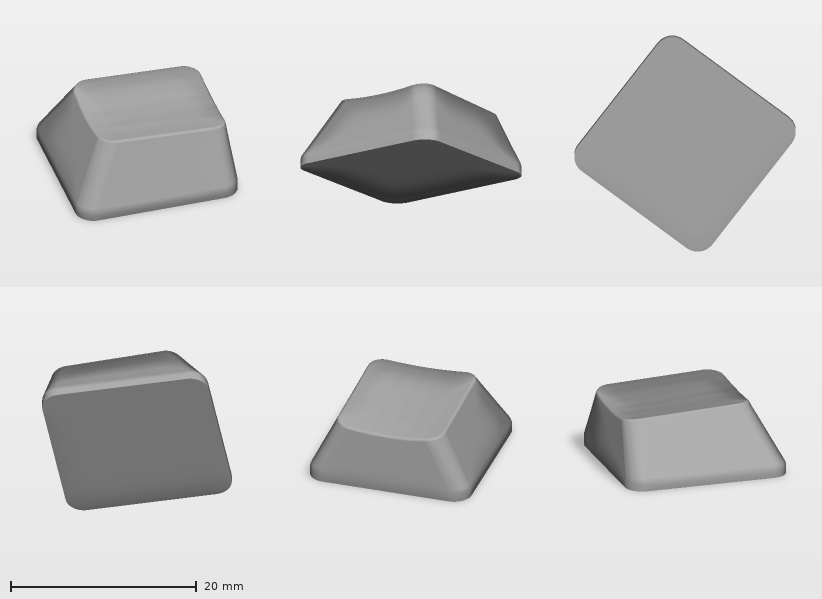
import cadquery as cq
import math

side = 18.16
foot_height = 0.67
foot_corner = 2.0

shoulder_top = 1.3
shoulder_steps = 3
shoulder_corner = 1.85

side_angle = 25.2
front_angle = 26.6
back_angle = 5.1
wall_top = 7.99
top_corner = 1.82

dish_radius = 31.78
dish_tilt = 2.7
dish_height = 7.01
rim_radius = 0.29


def inset(angle, z):
    """Inward shift of a wall at height z: an arc over the shoulder, then straight."""
    lean = math.radians(angle)
    arc_radius = (shoulder_top - foot_height) / math.sin(lean)
    arc_rise = min(z, shoulder_top) - foot_height
    arc_shift = arc_radius - math.sqrt(arc_radius**2 - arc_rise**2)
    straight_shift = max(z - shoulder_top, 0) * math.tan(lean)
    return arc_shift + straight_shift


def section(z, corner):
    """Rounded rectangle that the four walls enclose at height z."""
    width = side - 2 * inset(side_angle, z)
    depth = side - inset(front_angle, z) - inset(back_angle, z)
    center_y = (inset(front_angle, z) - inset(back_angle, z)) / 2
    sketch = cq.Sketch().rect(width, depth).vertices().fillet(corner)
    return sketch.moved(cq.Location(cq.Vector(0, center_y, z)))


def tilted_section():
    """Rounded rectangle that ends the walls, in a plane parallel to the dish axis."""
    fall = math.tan(math.radians(dish_tilt))
    front_shift = inset(front_angle, wall_top + fall * side / 2)
    back_shift = inset(back_angle, wall_top - fall * side / 2)
    width = side - 2 * inset(side_angle, wall_top)
    depth = (side - front_shift - back_shift) / math.cos(math.radians(dish_tilt))
    center_y = (front_shift - back_shift) / 2
    center_z = wall_top - fall * center_y
    sketch = cq.Sketch().rect(width, depth).vertices().fillet(top_corner)
    plane = cq.Plane((0, center_y, center_z)).rotated((-dish_tilt, 0, 0))
    return sketch.moved(cq.Location(plane))


def make_foot():
    return cq.Workplane("XY").placeSketch(section(foot_height, foot_corner)).extrude(-foot_height)


def make_shoulder():
    step = (shoulder_top - foot_height) / shoulder_steps
    corner_step = (shoulder_corner - foot_corner) / shoulder_steps
    sections = [
        section(foot_height + i * step, foot_corner + i * corner_step)
        for i in range(shoulder_steps + 1)
    ]
    return cq.Workplane("XY").placeSketch(*sections).loft()


def make_walls():
    lower = section(shoulder_top, shoulder_corner)
    upper = tilted_section()
    return cq.Workplane("XY").placeSketch(lower, upper).loft(ruled=True)


def make_dish_cutter():
    """Long cylinder lying front to back, tilted down toward the back."""
    cylinder = cq.Workplane("XZ").circle(dish_radius).extrude(side, both=True)
    cylinder = cylinder.rotate((0, 0, 0), (1, 0, 0), -dish_tilt)
    axis_height = dish_height + dish_radius / math.cos(math.radians(dish_tilt))
    return cylinder.translate((0, 0, axis_height))


body = make_foot().union(make_shoulder()).union(make_walls())
body = body.cut(make_dish_cutter())

result = body.faces("%CYLINDER").faces(">Z").edges().fillet(rim_radius)